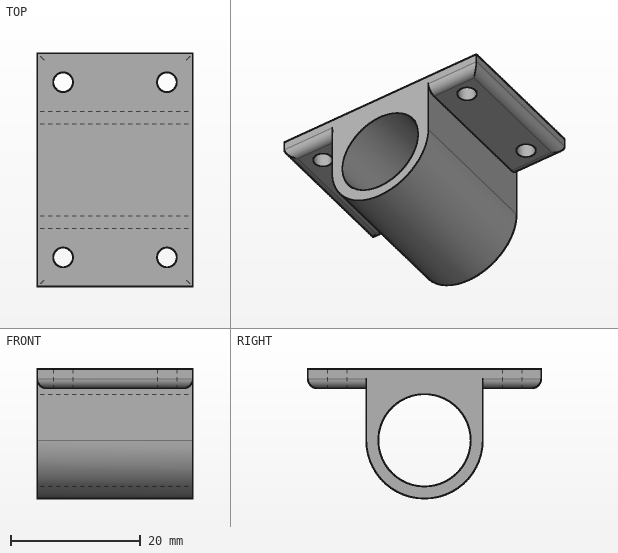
import cadquery as cq

length = 24.0
plate_width = 36.0
plate_thickness = 3.0
plate_edge_radius = 1.5
barrel_radius = 9.0
bore_diameter = 14.2
plate_top = 11.0
hole_diameter = 3.0
hole_spacing_x = 16.0
hole_spacing_y = 27.0


def mounting_plate():
    """Flat plate with all four lower edges rounded."""
    plate = cq.Workplane("XY").box(length, plate_width, plate_thickness)
    plate = plate.faces("<Z").edges().fillet(plate_edge_radius)
    return plate.translate((0, 0, plate_top - plate_thickness / 2))


def barrel():
    """U-shaped body: a half cylinder with straight walls up to the mounting face."""
    return (
        cq.Workplane("YZ")
        .moveTo(-barrel_radius, plate_top)
        .lineTo(-barrel_radius, 0)
        .threePointArc((0, -barrel_radius), (barrel_radius, 0))
        .lineTo(barrel_radius, plate_top)
        .close()
        .extrude(length / 2, both=True)
    )


def bore():
    """Through bore along X."""
    return cq.Workplane("YZ").circle(bore_diameter / 2).extrude(length / 2, both=True)


def mounting_holes():
    """Four screw holes through the plate, two on each side of the barrel."""
    return (
        cq.Workplane("XY")
        .workplane(offset=plate_top)
        .rarray(hole_spacing_x, hole_spacing_y, 2, 2)
        .circle(hole_diameter / 2)
        .extrude(-plate_thickness)
    )


result = mounting_plate().union(barrel()).cut(bore()).cut(mounting_holes())